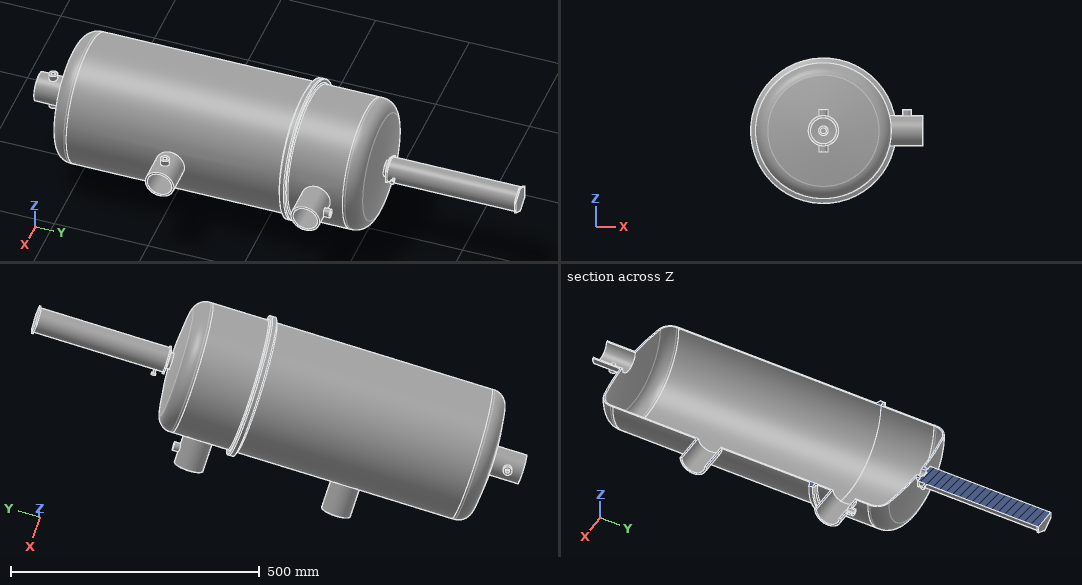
import cadquery as cq
import math


shell_radius = 136.5
wall = 4.0
crown_radius = 620.0
knuckle_radius = 30.0
lower_tangent_y = 102.0
upper_tangent_y = 701.5
skirt_length = 5.0

flange_radius = 146.395
joint_y = 574.0
lower_flange_thickness = 8.5
lower_flange_taper = 4.0
upper_flange_thickness = 3.5
weld_leg = 2.5

nozzle_radius = 30.5
nozzle_bore_radius = 26.0
side_nozzle_reach = 199.8
inlet_y = 640.0
outlet_y = 329.0
stub_radius = 9.0
stub_bore_radius = 4.0
stub_reach = 42.5
drain_stub_y = 31.0
side_stub_x = 168.0

total_length = 1027.8
neck_radius = 17.0
neck_bore_radius = 9.5
neck_top_y = 748.5
vent_radius = 25.7
plate_across_flats = 51.4
plate_thickness = 3.5
vent_port_radius = 6.0
bleed_y = 767.0
bleed_neck_radius = 2.5
bleed_head_radius = 4.5
bleed_head_length = 4.0
bleed_reach = 38.0

knuckle_centre_radius = shell_radius - knuckle_radius
crown_drop = math.sqrt((crown_radius - knuckle_radius) ** 2 - knuckle_centre_radius ** 2)
crown_half_angle = math.asin(knuckle_centre_radius / (crown_radius - knuckle_radius))

lower_seam_y = lower_tangent_y + skirt_length
upper_seam_y = upper_tangent_y - skirt_length


def cylinder(radius, start, end):
    """Solid cylinder between two points."""
    axis = cq.Vector(*end) - cq.Vector(*start)
    return cq.Workplane(cq.Solid.makeCylinder(radius, axis.Length, cq.Vector(*start), axis))


def along_y(radius, start_y, end_y):
    """Solid cylinder on the main axis."""
    return cylinder(radius, (0, start_y, 0), (0, end_y, 0))


def dished_solid(tangent_y, direction, inset):
    """Solid dished end with skirt, bulging along direction (+1 or -1); inset moves every wall inward."""
    radius = shell_radius - inset
    crown = crown_radius - inset
    knuckle = knuckle_radius - inset
    seam_y = tangent_y - direction * skirt_length
    crown_centre_y = tangent_y - direction * crown_drop

    def on_crown(angle):
        return (crown * math.sin(angle), crown_centre_y + direction * crown * math.cos(angle))

    def on_knuckle(angle):
        return (
            knuckle_centre_radius + knuckle * math.sin(angle),
            tangent_y + direction * knuckle * math.cos(angle),
        )

    knuckle_middle_angle = (crown_half_angle + math.pi / 2) / 2
    return (
        cq.Workplane("XY")
        .moveTo(0, seam_y)
        .lineTo(radius, seam_y)
        .lineTo(radius, tangent_y)
        .threePointArc(on_knuckle(knuckle_middle_angle), on_crown(crown_half_angle))
        .threePointArc(on_crown(crown_half_angle / 2), on_crown(0))
        .close()
        .revolve(360, (0, 0, 0), (0, 1, 0))
    )


def lower_flange():
    """Flange whose whole back tapers to the shell."""
    back_y = joint_y - lower_flange_thickness
    return (
        cq.Workplane("XY")
        .moveTo(0, joint_y)
        .lineTo(flange_radius, joint_y)
        .lineTo(flange_radius, back_y)
        .lineTo(shell_radius, back_y - lower_flange_taper)
        .lineTo(0, back_y - lower_flange_taper)
        .close()
        .revolve(360, (0, 0, 0), (0, 1, 0))
    )


def upper_flange():
    """Flat flange with a fillet weld to the shell."""
    back_y = joint_y + upper_flange_thickness
    return (
        cq.Workplane("XY")
        .moveTo(0, joint_y)
        .lineTo(flange_radius, joint_y)
        .lineTo(flange_radius, back_y)
        .lineTo(shell_radius + weld_leg, back_y)
        .lineTo(shell_radius, back_y + weld_leg)
        .lineTo(0, back_y + weld_leg)
        .close()
        .revolve(360, (0, 0, 0), (0, 1, 0))
    )


def make_lower_end():
    """Lower dished end with the drain nozzle and its two opposite stubs."""
    stubs = ((0, drain_stub_y, -stub_reach), (0, drain_stub_y, stub_reach))
    body = dished_solid(lower_tangent_y, -1, 0)
    body = body.union(along_y(nozzle_radius, 0, lower_tangent_y))
    body = body.union(cylinder(stub_radius, *stubs))
    body = body.cut(dished_solid(lower_tangent_y, -1, wall))
    body = body.cut(along_y(nozzle_bore_radius, 0, lower_tangent_y))
    return body.cut(cylinder(stub_bore_radius, *stubs))


def make_shell(seam_y, flange_solid, nozzle_y, stub_direction):
    """Straight shell from a seam to the joint, with a flange and a +X nozzle that has one stub."""
    nozzle = ((0, nozzle_y, 0), (side_nozzle_reach, nozzle_y, 0))
    stub_root = cq.Vector(side_stub_x, nozzle_y, 0)
    stub_end = stub_root + cq.Vector(*stub_direction) * stub_reach
    stub = (stub_root.toTuple(), stub_end.toTuple())

    body = along_y(shell_radius, seam_y, joint_y).union(flange_solid)
    body = body.union(cylinder(nozzle_radius, *nozzle))
    body = body.union(cylinder(stub_radius, *stub))
    body = body.cut(along_y(shell_radius - wall, seam_y, joint_y))
    body = body.cut(cylinder(nozzle_bore_radius, *nozzle))
    return body.cut(cylinder(stub_bore_radius, *stub))


def make_upper_end():
    """Upper dished end with the bored neck that carries the vent."""
    body = dished_solid(upper_tangent_y, 1, 0)
    body = body.union(along_y(neck_radius, upper_tangent_y, neck_top_y))
    body = body.cut(dished_solid(upper_tangent_y, 1, wall))
    return body.cut(along_y(neck_bore_radius, upper_tangent_y, neck_top_y))


def hex_plate(bottom_y):
    """Hexagonal plate, corners pointing along Z and flats facing X."""
    across_corners = plate_across_flats / math.cos(math.pi / 6)
    return (
        cq.Workplane("ZX", origin=(0, bottom_y, 0))
        .polygon(6, across_corners)
        .extrude(plate_thickness)
    )


def make_vent():
    """Round vent barrel with hexagonal end plates, a port in the lower plate and a bleed fitting at +X."""
    barrel_bottom_y = neck_top_y + plate_thickness
    bleed_head_x = bleed_reach - bleed_head_length
    bleed_end = (bleed_reach, bleed_y, 0)

    body = along_y(vent_radius, neck_top_y, total_length)
    for plate_y in (neck_top_y, total_length - plate_thickness):
        body = body.union(hex_plate(plate_y))
    body = body.union(cylinder(bleed_neck_radius, (0, bleed_y, 0), bleed_end))
    body = body.union(cylinder(bleed_head_radius, (bleed_head_x, bleed_y, 0), bleed_end))
    return body.cut(along_y(vent_port_radius, neck_top_y, barrel_bottom_y))


lower_end = make_lower_end()
lower_shell = make_shell(lower_seam_y, lower_flange(), outlet_y, (0, 0, 1))
upper_shell = make_shell(upper_seam_y, upper_flange(), inlet_y, (0, 1, 0))
upper_end = make_upper_end()
vent = make_vent()

result = cq.Compound.makeCompound(
    [lower_end.val(), lower_shell.val(), upper_shell.val(), upper_end.val(), vent.val()]
)